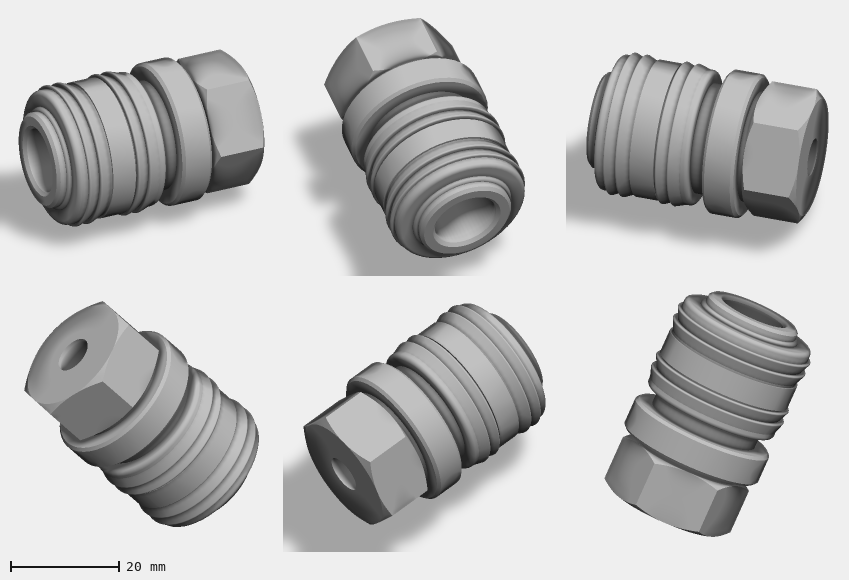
import cadquery as cq
import math

length = 41.0

nose_radius = 9.0
nose_chamfer = 0.57
step_radius = 9.75
step_fillet = step_radius - nose_radius

sleeve_front = 2.5
sleeve_back = 20.5
sleeve_radius = 12.7
sleeve_fillet = 0.78

ridge_radius = 13.35
ridge_tip_fillet = 0.25
ridge_length = 2.3
front_ridges = 4.5
rear_ridges = 14.45
groove_radius = 12.45
band_front = 9.5
band_back = 14.05
band_radius = 12.87

neck_radius = 10.35
collar_front = 23.45
collar_back = 29.48
collar_radius = 27.0 / 2
collar_chamfer = 0.55

hex_across_flats = 22.0
hex_length = 10.5
hex_front = length - hex_length
hex_chamfer_angle = 30.0

socket_radius = 6.05
socket_chamfer = 0.6
socket_depth = sleeve_back
passage_radius = 3.53


def add_ridge(profile, front, back_root):
    """Add one ridge: flat face from the current point, rounded tip, cone to the back root."""
    tip_center_radius = ridge_radius - ridge_tip_fillet
    tip_center_y = front + ridge_tip_fillet
    rise = tip_center_radius - back_root
    run = ridge_length - ridge_tip_fillet
    slope = math.atan2(rise, run) + math.asin(ridge_tip_fillet / math.hypot(rise, run))

    def tip_point(angle):
        return (
            tip_center_radius + ridge_tip_fillet * math.cos(angle),
            tip_center_y + ridge_tip_fillet * math.sin(angle),
        )

    return (
        profile.lineTo(tip_center_radius, front)
        .threePointArc(tip_point(0), tip_point(slope))
        .lineTo(back_root, front + ridge_length)
    )


def add_quarter_round(profile, radius, y, fillet, start_angle):
    """Add a convex quarter arc whose centre is at (radius, y), turning 90 degrees from start_angle."""

    def arc_point(angle):
        return (
            radius + fillet * math.cos(math.radians(angle)),
            y + fillet * math.sin(math.radians(angle)),
        )

    return profile.threePointArc(arc_point(start_angle + 45), arc_point(start_angle + 90))


def turned_body():
    """Revolve the stepped outline from the nose to the front of the hexagon."""
    sleeve_flat_radius = sleeve_radius - sleeve_fillet
    front_round_end = sleeve_front + sleeve_fillet
    back_round_start = sleeve_back - sleeve_fillet

    profile = (
        cq.Workplane("XY")
        .lineTo(nose_radius - nose_chamfer, 0)
        .lineTo(nose_radius, nose_chamfer)
        .lineTo(nose_radius, sleeve_front - step_fillet)
    )
    profile = add_quarter_round(profile, nose_radius, sleeve_front, step_fillet, -90)
    profile = profile.lineTo(sleeve_flat_radius, sleeve_front)
    profile = add_quarter_round(profile, sleeve_flat_radius, front_round_end, sleeve_fillet, -90)

    profile = profile.lineTo(sleeve_radius, front_ridges)
    profile = add_ridge(profile, front_ridges, groove_radius)
    profile = add_ridge(profile, front_ridges + ridge_length, groove_radius)
    profile = (
        profile.lineTo(groove_radius, band_front)
        .lineTo(band_radius, band_front)
        .lineTo(band_radius, band_back)
        .lineTo(groove_radius, band_back)
        .lineTo(groove_radius, rear_ridges)
    )
    profile = add_ridge(profile, rear_ridges, groove_radius)
    profile = add_ridge(profile, rear_ridges + ridge_length, sleeve_radius)

    profile = profile.lineTo(sleeve_radius, back_round_start)
    profile = add_quarter_round(profile, sleeve_flat_radius, back_round_start, sleeve_fillet, 0)

    profile = (
        profile.lineTo(neck_radius, sleeve_back)
        .lineTo(neck_radius, collar_front)
        .lineTo(collar_radius - collar_chamfer, collar_front)
        .lineTo(collar_radius, collar_front + collar_chamfer)
        .lineTo(collar_radius, collar_back - collar_chamfer)
        .lineTo(collar_radius - collar_chamfer, collar_back)
        .lineTo(neck_radius, collar_back)
        .lineTo(neck_radius, hex_front)
        .lineTo(0, hex_front)
        .close()
    )
    return profile.revolve(360, (0, 0), (0, 1))


def hexagon():
    """Hexagon with flats facing up and down, its corners turned off conically at both ends."""
    end_radius = hex_across_flats / 2
    corner_radius = end_radius / math.cos(math.pi / 6)
    drop = (corner_radius - end_radius) * math.tan(math.radians(hex_chamfer_angle))

    prism = (
        cq.Workplane("XZ", origin=(0, length, 0))
        .polygon(6, 2 * corner_radius)
        .extrude(hex_length)
    )
    turned_envelope = (
        cq.Workplane("XY")
        .moveTo(0, hex_front)
        .lineTo(end_radius, hex_front)
        .lineTo(corner_radius, hex_front + drop)
        .lineTo(corner_radius, length - drop)
        .lineTo(end_radius, length)
        .lineTo(0, length)
        .close()
        .revolve(360, (0, 0), (0, 1))
    )
    return prism.intersect(turned_envelope)


def bore():
    """Chamfered plug socket from the nose, then the narrower passage to the far end."""
    return (
        cq.Workplane("XY")
        .lineTo(socket_radius + socket_chamfer, 0)
        .lineTo(socket_radius, socket_chamfer)
        .lineTo(socket_radius, socket_depth)
        .lineTo(passage_radius, socket_depth)
        .lineTo(passage_radius, length)
        .lineTo(0, length)
        .close()
        .revolve(360, (0, 0), (0, 1))
    )


result = turned_body().union(hexagon()).cut(bore())